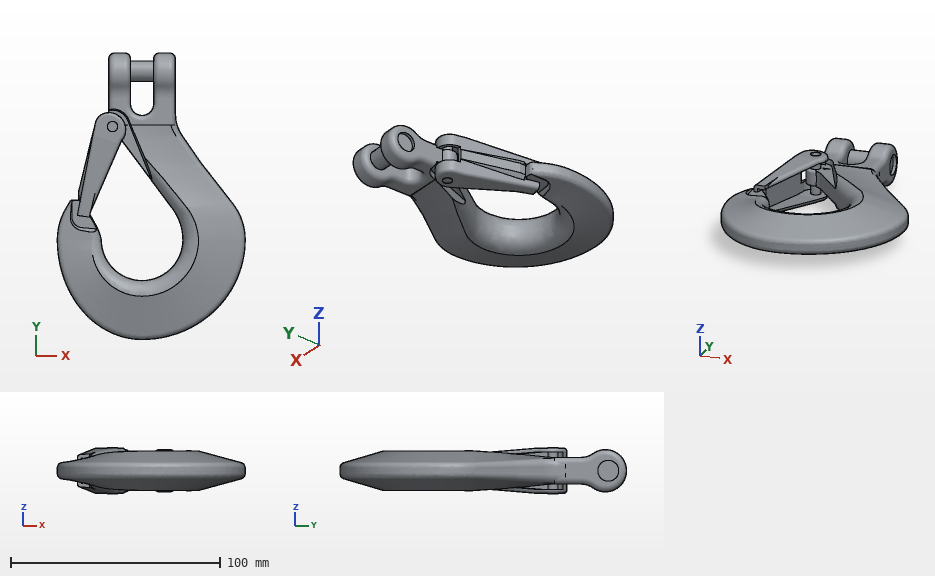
import cadquery as cq
import math


BOWL_R = 19.5
BOTTOM_Y = -47.7
BACK_X = 49.3
FRONT_X = -40.5
BODY_HALF = 9.5
FRONT_HALF = 5.5
RIM_HALF = 4.0
RIM_ROUND = 2.2
INNER_ROUND = 7.5
FRONT_ROUND = 4.4
FLAT_SHARE = 0.22
SECTIONS_PER_CURVE = 6
CLEARANCE = 1.4

TIP_Y = 19.0
TIP_NOSE_R = 1.8
ARM_LOW_INNER = (-21.6, 6.3)
ARM_LOW_OUTER = (-39.6, 7.4)
ARM_LOW_HALF = 5.2
ARM_LOW_ROUND = 3.8
ARM_HIGH_INNER = (-25.2, 12.7)
ARM_HIGH_OUTER = (-37.4, 13.2)
ARM_HIGH_HALF = 4.7
ARM_HIGH_ROUND = 3.0
TIP_INNER = (-29.0, TIP_Y)
TIP_OUTER = (-34.0, TIP_Y)
SEAT_WALL_X = -33.4
SEAT_BEND_START = (SEAT_WALL_X, 9.9)
SEAT_BEND_MID = (-31.5, 6.8)
SEAT_BEND_END = (-28.1, 5.8)
SEAT_INNER_END = (-19.2, 5.0)
SEAT_FLARE = 40
SEAT_HALF = 3.3

THROAT_ANGLE = 36.7
THROAT_BEND_R = 24.7
BACK_ANGLE = 38.1
BACK_BEND_R = 28.1
NECK_ANGLE = 34.5
NECK_BEND_R = 18.4
BEND_END_HALF = 9.6
BEND_END_ROUND = 6.8
THROAT_MID = (5.2, 27.4)
THROAT_MID_HALF = 8.6
THROAT_MID_ROUND = 5.2
THROAT_TOP = (-9.7, 47.4)
THROAT_TOP_HALF = 7.1
THROAT_TOP_ROUND = 3.5
BACK_MID = (28.0, 37.0)
BACK_MID_HALF = 5.0
BACK_TOP_Y = 49.7
BACK_TOP_HALF = 5.8
NECK_FRONT_Y = 52.7

CLEVIS_WIDTH = 31.9
CLEVIS_HALF_X = CLEVIS_WIDTH / 2
CLEVIS_ROUND = 2.9
NECK_HALF = 6.5
SHANK_TOP_HALF = 6.3
NECK_BASE_Y = 54.8
NECK_BLEND_R = 9.6
EYE_R = 10.1
EYE_TOP_Y = 89.3
SLOT_HALF_X = 5.5
SLOT_BOTTOM_Y = 59.5

PIN_D = 10.0
PIN_Y = 80.5
PIN_RECESS = 1.6

PIVOT_X = -14.1
PIVOT_Y = 54.1
PIVOT_D = 5.0
LUG_R = 4.8
POCKET_R = 7.8
PIVOT_LENGTH = 22.0
LUG_HALF = 4.0
LUG_ROUND = 1.1
POCKET_END = (4.4, 29.0)
POCKET_FLARE = 14
LATCH_HALF = 10.8
LATCH_TIP_HALF = 7.8
LATCH_GAP_HALF = 4.2
LATCH_WALL = 1.9
WEB_TOP_Y = 53.0
WEB_END_Y = 19.5
RIB_HEIGHT = 1.6
RIB_START_HEIGHT = 0.1
RIB_START_HALF = 2.7
RIB_PEAK_Y = 22.7
RIB_TOP_HALF = 2.6
RIB_BASE_HALF = 5.1
LATCH_ANGLE = 71.5
LATCH_HEAD_R = 9.6
LATCH_ROUND = 1.6
LATCH_TAPER_START = -6.8
LATCH_TAPER_END = -45.9
LEG_END = (-31.0, 11.6)
LATCH_SHOULDER = (-22.5, 55.5)
LATCH_CROWN = (-15.9, 60.8)
HEAD_END = (-9.9, 47.1)
LEG_INNER_TOP = (-24.7, 13.2)
LEG_INNER_END = (-25.2, 10.8)
LONG_EDGE_MIN_Y = 2.7
FACE_EDGE_MAX_Z = 5.5


def polar(centre, radius, degrees):
    angle = math.radians(degrees)
    return (centre[0] + radius * math.cos(angle), centre[1] + radius * math.sin(angle))


def between(start, end, share):
    return start + (end - start) * share


def point_between(start, end, share):
    return (between(start[0], end[0], share), between(start[1], end[1], share))


def section(inner, outer, inner_half, outer_half, inner_round, outer_round):
    """Closed cross-section standing on the line from an inner to an outer plan point."""
    width = math.dist(inner, outer)
    plane = cq.Plane(
        origin=(inner[0], inner[1], 0),
        xDir=(outer[0] - inner[0], outer[1] - inner[1], 0),
        normal=(outer[1] - inner[1], inner[0] - outer[0], 0),
    )
    inner_flat = FLAT_SHARE * inner_half
    outer_flat = FLAT_SHARE * outer_half
    bulge = math.sqrt(0.5)
    inner_mid_x = inner_round * (1 - bulge)
    inner_mid_z = between(inner_flat, inner_half, bulge)
    outer_mid_x = width - outer_round * (1 - bulge)
    outer_mid_z = between(outer_flat, outer_half, bulge)
    outline = (
        cq.Workplane(plane)
        .moveTo(0, -inner_flat)
        .lineTo(0, inner_flat)
        .threePointArc((inner_mid_x, inner_mid_z), (inner_round, inner_half))
        .lineTo(width - outer_round, outer_half)
        .threePointArc((outer_mid_x, outer_mid_z), (width, outer_flat))
        .lineTo(width, -outer_flat)
        .threePointArc((outer_mid_x, -outer_mid_z), (width - outer_round, -outer_half))
        .lineTo(inner_round, -inner_half)
        .threePointArc((inner_mid_x, -inner_mid_z), (0, -inner_flat))
        .close()
    )
    return outline.val()


def loft(sections, ruled=False):
    return cq.Workplane(obj=cq.Solid.makeLoft(sections, ruled))


def shares():
    return [step / SECTIONS_PER_CURVE for step in range(SECTIONS_PER_CURVE + 1)]


def bowl_section(degrees):
    """Radial section: circular inside, elliptical outside, thinner towards the tip side."""
    angle = math.radians(degrees)
    side_x = BACK_X if math.cos(angle) > 0 else FRONT_X
    outer_r = side_x * BOTTOM_Y / math.hypot(BOTTOM_Y * math.cos(angle), side_x * math.sin(angle))
    fullness = 1.0 if math.cos(angle) > 0 else -math.sin(angle)
    return section(
        polar((0, 0), BOWL_R, degrees),
        polar((0, 0), abs(outer_r), degrees),
        between(FRONT_HALF, BODY_HALF, fullness),
        RIM_HALF,
        between(FRONT_ROUND, INNER_ROUND, fullness),
        RIM_ROUND,
    )


def bowl():
    front = loft([bowl_section(180 + 90 * s) for s in shares()])
    back = loft([bowl_section(270 + 90 * s) for s in shares()])
    return front.union(back)


def tip():
    """Tapering arm with a blunt nose and a seat for the latch on both faces."""
    arm = loft([
        bowl_section(180),
        section(ARM_LOW_INNER, ARM_LOW_OUTER, ARM_LOW_HALF, RIM_HALF, ARM_LOW_ROUND, RIM_ROUND),
        section(ARM_HIGH_INNER, ARM_HIGH_OUTER, ARM_HIGH_HALF, RIM_HALF, ARM_HIGH_ROUND, RIM_ROUND),
        section(TIP_INNER, TIP_OUTER, RIM_HALF, RIM_HALF, RIM_ROUND, RIM_ROUND),
    ])
    arm = arm.faces(">Y").edges().fillet(TIP_NOSE_R)
    seat = (
        cq.Workplane("XY")
        .moveTo(SEAT_WALL_X, TIP_Y + CLEARANCE)
        .lineTo(*SEAT_BEND_START)
        .threePointArc(SEAT_BEND_MID, SEAT_BEND_END)
        .lineTo(*SEAT_INNER_END)
        .lineTo(SEAT_INNER_END[0], TIP_Y + CLEARANCE)
        .close()
        .extrude(BODY_HALF, taper=-SEAT_FLARE)
        .translate((0, 0, SEAT_HALF))
    )
    return arm.cut(seat).cut(seat.mirror("XY"))


def bend_section(share):
    """Section along the bend that leads from the bowl into the straight shank."""
    return section(
        polar((BOWL_R - THROAT_BEND_R, 0), THROAT_BEND_R, share * THROAT_ANGLE),
        polar((BACK_X - BACK_BEND_R, 0), BACK_BEND_R, share * BACK_ANGLE),
        between(BODY_HALF, BEND_END_HALF, share),
        RIM_HALF,
        between(INNER_ROUND, BEND_END_ROUND, share),
        RIM_ROUND,
    )


def neck_section(share):
    """Section along the bend that leads from the straight shank into the neck."""
    bend_centre_x = CLEVIS_HALF_X + NECK_BEND_R
    bend_centre_y = BACK_TOP_Y + NECK_BEND_R * math.sin(math.radians(NECK_ANGLE))
    outer = polar((bend_centre_x, bend_centre_y), NECK_BEND_R, 180 + NECK_ANGLE * (1 - share))
    return section(
        point_between(THROAT_TOP, (-CLEVIS_HALF_X, NECK_FRONT_Y), share),
        outer,
        between(THROAT_TOP_HALF, SHANK_TOP_HALF, share),
        between(BACK_TOP_HALF, SHANK_TOP_HALF, share),
        between(THROAT_TOP_ROUND, CLEVIS_ROUND, share),
        CLEVIS_ROUND,
    )


def shank():
    bend = loft([bend_section(s) for s in shares()])
    mid = section(THROAT_MID, BACK_MID, THROAT_MID_HALF, BACK_MID_HALF, THROAT_MID_ROUND, RIM_ROUND)
    straight = loft([bend_section(1), mid, neck_section(0)], ruled=True)
    neck = loft([neck_section(s) for s in shares()])
    return bend.union(straight).union(neck)


def clevis():
    """Fork with a round eye: side profile pulled across, slotted, all edges rounded."""
    eye_y = EYE_TOP_Y - EYE_R
    blend_z = NECK_HALF + NECK_BLEND_R
    blend_y = eye_y - math.sqrt((EYE_R + NECK_BLEND_R) ** 2 - blend_z ** 2)
    touch = EYE_R / (EYE_R + NECK_BLEND_R)
    touch_y = between(eye_y, blend_y, touch)
    touch_z = blend_z * touch
    mid_angle = math.degrees((math.atan2(touch_z - blend_z, touch_y - blend_y) - math.pi / 2) / 2)
    mid_y, mid_z = polar((blend_y, blend_z), NECK_BLEND_R, mid_angle)
    fork = (
        cq.Workplane("YZ")
        .moveTo(NECK_BASE_Y, -NECK_HALF)
        .lineTo(blend_y, -NECK_HALF)
        .threePointArc((mid_y, -mid_z), (touch_y, -touch_z))
        .threePointArc((EYE_TOP_Y, 0), (touch_y, touch_z))
        .threePointArc((mid_y, mid_z), (blend_y, NECK_HALF))
        .lineTo(NECK_BASE_Y, NECK_HALF)
        .close()
        .extrude(CLEVIS_HALF_X, both=True)
    )
    slot_centre_y = SLOT_BOTTOM_Y + SLOT_HALF_X
    slot = (
        cq.Workplane("XY")
        .moveTo(-SLOT_HALF_X, EYE_TOP_Y + CLEARANCE)
        .lineTo(-SLOT_HALF_X, slot_centre_y)
        .threePointArc((0, SLOT_BOTTOM_Y), (SLOT_HALF_X, slot_centre_y))
        .lineTo(SLOT_HALF_X, EYE_TOP_Y + CLEARANCE)
        .close()
        .extrude(EYE_R + CLEARANCE, both=True)
    )
    above_base = cq.selectors.BoxSelector(
        (-CLEVIS_WIDTH, NECK_BASE_Y + CLEARANCE, -CLEVIS_WIDTH),
        (CLEVIS_WIDTH, EYE_TOP_Y + CLEARANCE, CLEVIS_WIDTH),
    )
    return fork.cut(slot).edges(above_base).fillet(CLEVIS_ROUND)


def latch_pocket():
    """Flared clearance above and below the lug for the latch head and the swinging legs."""
    reach = math.dist((PIVOT_X, PIVOT_Y), POCKET_END)
    bearing = math.degrees(math.atan2(POCKET_END[1] - PIVOT_Y, POCKET_END[0] - PIVOT_X))
    touch_angle = bearing + math.degrees(math.acos(POCKET_R / reach))
    upper = (
        cq.Workplane("XY")
        .moveTo(*POCKET_END)
        .lineTo(*polar((PIVOT_X, PIVOT_Y), POCKET_R, touch_angle))
        .threePointArc((PIVOT_X, PIVOT_Y + POCKET_R), (PIVOT_X - POCKET_R, PIVOT_Y))
        .lineTo(PIVOT_X - POCKET_R, POCKET_END[1])
        .close()
        .extrude(BODY_HALF, taper=-POCKET_FLARE)
        .translate((0, 0, LUG_HALF))
    )
    return upper.union(upper.mirror("XY"))


def make_hook():
    """Forged hook with clevis, latch lug and the two pin holes."""
    lug = cq.Workplane("XY").center(PIVOT_X, PIVOT_Y).circle(LUG_R).extrude(LUG_HALF, both=True)
    lug = lug.edges().fillet(LUG_ROUND)
    body = bowl().union(tip()).union(shank()).union(clevis())
    body = body.cut(latch_pocket()).union(lug)
    pin_hole = cq.Workplane("YZ").center(PIN_Y, 0).circle(PIN_D / 2).extrude(BACK_X, both=True)
    return body.cut(pin_hole).cut(pivot_pin())


def make_clevis_pin():
    half_length = CLEVIS_HALF_X - PIN_RECESS
    pin_end = cq.Workplane("YZ", origin=(-half_length, PIN_Y, 0))
    return pin_end.circle(PIN_D / 2).extrude(2 * half_length)


def pivot_pin():
    centre = cq.Workplane("XY").center(PIVOT_X, PIVOT_Y)
    return centre.circle(PIVOT_D / 2).extrude(PIVOT_LENGTH / 2, both=True)


def latch_outer_x(y):
    """X of the latch's straight outer side at height y."""
    share = (y - LEG_END[1]) / (LATCH_SHOULDER[1] - LEG_END[1])
    return between(LEG_END[0], LATCH_SHOULDER[0], share)


def latch_thickness(inset):
    """Slab along the latch axis, thinning towards the leg ends, shrunk by an inset in Z."""
    axis = (math.cos(math.radians(LATCH_ANGLE)), math.sin(math.radians(LATCH_ANGLE)), 0)
    side = cq.Plane(origin=(PIVOT_X, PIVOT_Y, 0), xDir=axis, normal=(axis[1], -axis[0], 0))
    head_half = LATCH_HALF - inset
    tip_half = LATCH_TIP_HALF - inset
    return (
        cq.Workplane(side)
        .polyline([
            (LATCH_HEAD_R, head_half),
            (LATCH_TAPER_START, head_half),
            (LATCH_TAPER_END, tip_half),
            (LATCH_TAPER_END, -tip_half),
            (LATCH_TAPER_START, -head_half),
            (LATCH_HEAD_R, -head_half),
        ])
        .close()
        .extrude(BACK_X, both=True)
    )


def latch_hollow():
    """Inside of the bent sheet, open towards the hook bowl and at the leg ends."""
    plan = (
        cq.Workplane("XY")
        .moveTo(LEG_END[0] + LATCH_WALL, LEG_END[1])
        .lineTo(LATCH_SHOULDER[0] + LATCH_WALL, LATCH_SHOULDER[1])
        .tangentArcPoint((LATCH_CROWN[0], LATCH_CROWN[1] - LATCH_WALL), relative=False)
        .lineTo(0, LATCH_CROWN[1] - LATCH_WALL)
        .lineTo(0, 0)
        .lineTo(LEG_END[0] + LATCH_WALL, 0)
        .close()
        .extrude(LATCH_HALF, both=True)
    )
    return plan.intersect(latch_thickness(LATCH_WALL))


def latch_blank():
    """Plan outline with faces that taper towards the leg ends."""
    plan = (
        cq.Workplane("XY")
        .moveTo(*LEG_INNER_END)
        .lineTo(*LEG_END)
        .lineTo(*LATCH_SHOULDER)
        .tangentArcPoint(LATCH_CROWN, relative=False)
        .tangentArcPoint(HEAD_END, relative=False)
        .lineTo(*LEG_INNER_TOP)
        .close()
        .extrude(LATCH_HALF, both=True)
    )
    blank = plan.intersect(latch_thickness(0))
    return blank.edges().filter(is_long_face_edge).fillet(LATCH_ROUND)


def is_long_face_edge(edge):
    """True for edges bordering a latch face along its length or round its head."""
    box = edge.BoundingBox()
    return box.ylen > LONG_EDGE_MIN_Y and box.zlen < FACE_EDGE_MAX_Z


def latch_channel():
    """Clearance for the hook lug above the web and for the hook tip below it."""
    width = abs(FRONT_X)
    lug_gap = cq.Workplane("XY").box(width, EYE_TOP_Y, 2 * LATCH_GAP_HALF, centered=(True, False, True))
    tip_gap = lug_gap.translate((LEG_END[0], WEB_END_Y - EYE_TOP_Y, 0))
    return lug_gap.translate((PIVOT_X, WEB_TOP_Y, 0)).union(tip_gap)


def web_rib_section(y, height, base_half):
    """Horizontal trapezoid standing out from the web's outer side."""
    x = latch_outer_x(y)
    plane = cq.Plane(origin=(x, y, 0), xDir=(1, 0, 0), normal=(0, -1, 0))
    return (
        cq.Workplane(plane)
        .polyline([
            (LATCH_WALL / 2, -base_half),
            (0, -base_half),
            (-height, -RIB_TOP_HALF),
            (-height, RIB_TOP_HALF),
            (0, base_half),
            (LATCH_WALL / 2, base_half),
        ])
        .close()
        .val()
    )


def web_rib():
    return loft([
        web_rib_section(WEB_TOP_Y, RIB_START_HEIGHT, RIB_START_HALF),
        web_rib_section(RIB_PEAK_Y, RIB_HEIGHT, RIB_BASE_HALF),
        web_rib_section(WEB_END_Y, RIB_HEIGHT / 2, RIB_BASE_HALF),
    ], ruled=True)


def make_latch():
    """Bent sheet latch carrying its own pivot pin."""
    sheet = latch_blank().cut(latch_hollow()).cut(latch_channel())
    return sheet.union(web_rib()).union(pivot_pin())


hook = make_hook()
clevis_pin = make_clevis_pin()
latch = make_latch()
result = cq.Compound.makeCompound([hook.solids().val(), clevis_pin.val(), latch.solids().val()])